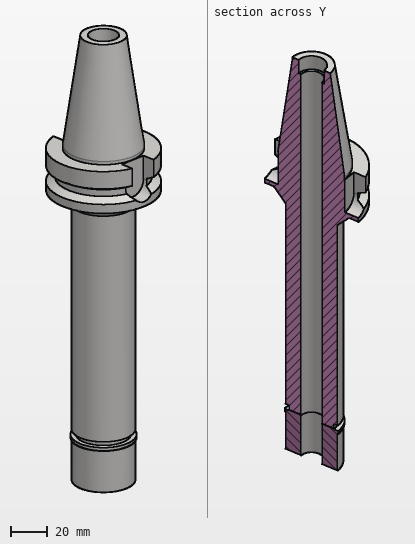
import cadquery as cq

total_height = 265.5
taper_base_z = 200.0
flange_top_z = 198.0
groove_top_z = 187.6
groove_floor_top_z = 185.0
groove_floor_bottom_z = 181.0
groove_bottom_z = 178.3
flange_bottom_z = 173.0
shank_top_z = 165.0
shank_bottom_z = 30.3
nut_top_z = 27.0
collar_bottom_z = 25.0

taper_tip_radius = 12.7
taper_base_radius = 22.3
flange_radius = 31.45
groove_radius = 26.5
cone_top_radius = 25.2
shank_radius = 17.5
neck_radius = 15.0
collar_radius = 18.0
nut_radius = shank_radius

bore_radius = 7.0
mouth_radius = 8.5
mouth_depth = 9.0

slot_width = 16.5
slot_floor_x = 22.5
slot_bottom_z = 176.0


def drive_slot(side):
    """Round-bottomed cutter for the slot on the +X (side=1) or -X (side=-1) side."""
    half_width = slot_width / 2
    round_centre_z = slot_bottom_z + half_width
    return (
        cq.Workplane("YZ", origin=(side * slot_floor_x, 0, 0))
        .moveTo(-half_width, flange_top_z)
        .lineTo(-half_width, round_centre_z)
        .threePointArc((0, slot_bottom_z), (half_width, round_centre_z))
        .lineTo(half_width, flange_top_z)
        .close()
        .extrude(side * (flange_radius - slot_floor_x + 2.7))
    )


def make_holder():
    """Tapered tool holder with a grooved flange, a long shank and a neck that meets the nut."""
    profile = [
        (bore_radius, nut_top_z),
        (neck_radius, nut_top_z),
        (neck_radius, shank_bottom_z),
        (shank_radius, shank_bottom_z),
        (shank_radius, shank_top_z),
        (cone_top_radius, flange_bottom_z),
        (flange_radius, flange_bottom_z),
        (flange_radius, groove_bottom_z),
        (groove_radius, groove_floor_bottom_z),
        (groove_radius, groove_floor_top_z),
        (flange_radius, groove_top_z),
        (flange_radius, flange_top_z),
        (taper_base_radius, flange_top_z),
        (taper_base_radius, taper_base_z),
        (taper_tip_radius, total_height),
        (mouth_radius, total_height),
        (mouth_radius, total_height - mouth_depth),
        (bore_radius, total_height - mouth_depth),
    ]
    holder = cq.Workplane("XZ").polyline(profile).close().revolve(360, (0, 0, 0), (0, 1, 0))
    for side in (-1, 1):
        holder = holder.cut(drive_slot(side))
    return holder


def make_nut():
    """Collet nut with a thin collar at its upper end, bored through."""
    profile = [
        (bore_radius, 0),
        (nut_radius, 0),
        (nut_radius, collar_bottom_z),
        (collar_radius, collar_bottom_z),
        (collar_radius, nut_top_z),
        (bore_radius, nut_top_z),
    ]
    return cq.Workplane("XZ").polyline(profile).close().revolve(360, (0, 0, 0), (0, 1, 0))


holder = make_holder()
nut = make_nut()

result = cq.Compound.makeCompound([holder.val(), nut.val()])